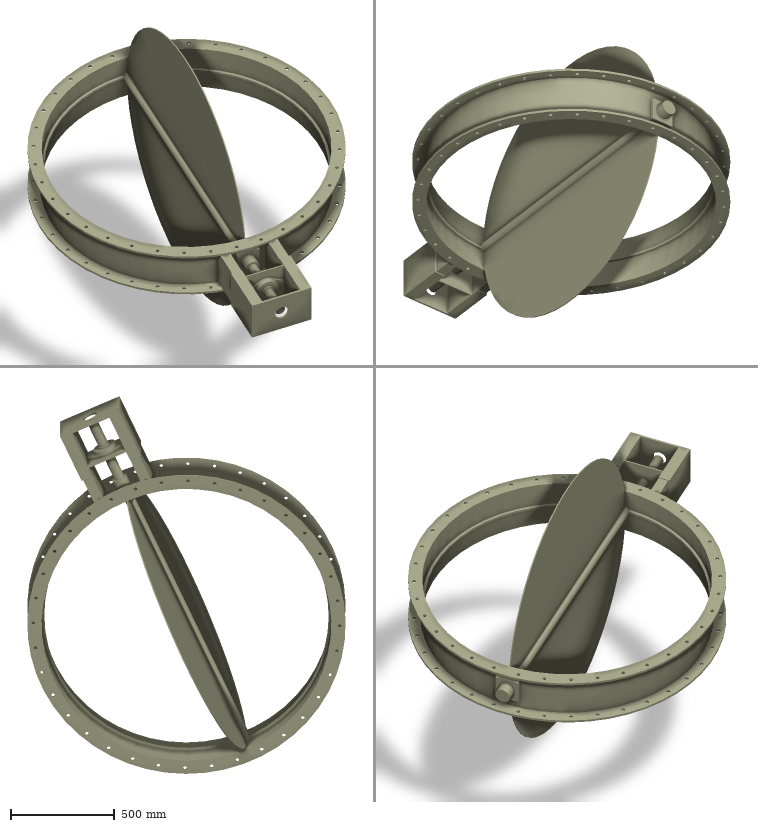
import cadquery as cq
import math

duct_radius = 700.0
shell_thickness = 10.0
shell_outer_radius = duct_radius + shell_thickness
duct_height = 250.0
flange_radius = 1538.0 / 2
flange_thickness = 12.0
bolt_count = 36
bolt_pitch = 360.0 / bolt_count
bolt_circle_radius = 740.0
bolt_hole_diameter = 18.0

joint_angles = (30.0, 150.0, 210.0, 330.0)
joint_width = 44.0
joint_face_radius = shell_outer_radius

blade_diameter = 1400.0
blade_thickness = 6.0
shaft_diameter = 50.0
shaft_end_x = 1109.0

seat_inner_radius = 687.0
seat_thickness = 12.0
seat_offset = blade_thickness / 2

boss_plate_size = 120.0
boss_plate_face_x = 730.0
boss_diameter = 75.0
boss_end_x = 782.0

bracket_end_x = 1129.0
arm_inner_y = 100.0
arm_outer_y = 150.0
arm_height = 200.0
casing_start_x = 878.0
casing_outer_y = 157.5
casing_height = 210.0
end_plate_thickness = 10.0
end_plate_hole_diameter = 70.0

cross_plate_x = 924.0
cross_plate_thickness = 6.0

bearing_body_diameter = 117.0
bearing_hub_diameter = 62.0
bearing_lobe_radius = 20.0
bearing_lobe_y = arm_inner_y - bearing_lobe_radius
bearing_base_length = 12.0
bearing_body_length = 20.0
bearing_hub_length = 9.0


def ring(outer_radius, inner_radius, bottom_z, height):
    profile = cq.Workplane("XY").workplane(offset=bottom_z).circle(outer_radius).circle(inner_radius)
    return profile.extrude(height)


def x_cylinder(diameter, start_x, end_x):
    return cq.Workplane("YZ").workplane(offset=start_x).circle(diameter / 2).extrude(end_x - start_x)


def block(x_range, y_range, height):
    """Box over the given X and Y ranges, centred on Z = 0."""
    length = x_range[1] - x_range[0]
    width = y_range[1] - y_range[0]
    corner = (x_range[0], y_range[0], -height / 2)
    return cq.Workplane("XY").box(length, width, height, centered=False).translate(corner)


def duct_bore():
    return cq.Workplane("XY").circle(duct_radius).extrude(duct_height / 2, both=True)


def make_shell():
    shell = ring(shell_outer_radius, duct_radius, -duct_height / 2, duct_height)
    inner_face = shell_outer_radius - shell_thickness / 2
    for angle in joint_angles:
        bar = block((inner_face, joint_face_radius), (-joint_width / 2, joint_width / 2), duct_height)
        shell = shell.union(bar.rotate((0, 0, 0), (0, 0, 1), angle))
    return shell


def make_flange(bottom_z):
    flange = ring(flange_radius, duct_radius, bottom_z, flange_thickness)
    holes = (
        cq.Workplane("XY")
        .workplane(offset=bottom_z)
        .polarArray(bolt_circle_radius, bolt_pitch / 2, 360, bolt_count)
        .circle(bolt_hole_diameter / 2)
        .extrude(flange_thickness)
    )
    return flange.cut(holes)


def make_seat(side):
    """Half ring on the +Y (side = 1) or -Y (side = -1) half of the duct."""
    bottom_z = -seat_offset - seat_thickness if side > 0 else seat_offset
    outer_radius = duct_radius + shell_thickness / 2
    seat = ring(outer_radius, seat_inner_radius, bottom_z, seat_thickness)
    near_y = side * shaft_diameter / 2
    far_y = side * flange_radius
    y_range = (min(near_y, far_y), max(near_y, far_y))
    return seat.intersect(block((-flange_radius, flange_radius), y_range, duct_height))


def make_boss(side):
    """Square plate and round boss on the +X (side = 1) or -X (side = -1) side."""
    half_size = boss_plate_size / 2
    back_x = duct_radius - shell_thickness
    plate = block((back_x, boss_plate_face_x), (-half_size, half_size), boss_plate_size)
    boss = plate.union(x_cylinder(boss_diameter, back_x, boss_end_x)).cut(duct_bore())
    return boss if side > 0 else boss.mirror("YZ")


def make_blade():
    return cq.Workplane("XZ").circle(blade_diameter / 2).extrude(blade_thickness / 2, both=True)


def make_bracket():
    arm_start_x = math.sqrt(duct_radius**2 - arm_outer_y**2)
    arm = block((arm_start_x, casing_start_x), (arm_inner_y, arm_outer_y), arm_height)
    casing = block((casing_start_x, bracket_end_x), (arm_inner_y, casing_outer_y), casing_height)
    side = arm.union(casing).cut(duct_bore())
    cross_plate = block(
        (cross_plate_x, cross_plate_x + cross_plate_thickness), (-arm_inner_y, arm_inner_y), casing_height
    )
    end_start_x = bracket_end_x - end_plate_thickness
    end_plate = block((end_start_x, bracket_end_x), (-arm_inner_y, arm_inner_y), casing_height)
    end_plate = end_plate.cut(x_cylinder(end_plate_hole_diameter, end_start_x, bracket_end_x))
    return side.union(side.mirror("XZ")).union(cross_plate).union(end_plate)


def make_bearing_base(start_x):
    """Rhombus base whose flanks are tangent to the round body and to both end lobes."""
    body_radius = bearing_body_diameter / 2
    flank_sin = (body_radius - bearing_lobe_radius) / bearing_lobe_y
    flank_cos = math.sqrt(1 - flank_sin**2)
    body_y = body_radius * flank_sin
    body_z = body_radius * flank_cos
    lobe_y = bearing_lobe_y + bearing_lobe_radius * flank_sin
    lobe_z = bearing_lobe_radius * flank_cos
    outline = (
        cq.Workplane("YZ")
        .workplane(offset=start_x)
        .moveTo(body_y, body_z)
        .lineTo(lobe_y, lobe_z)
        .threePointArc((arm_inner_y, 0), (lobe_y, -lobe_z))
        .lineTo(body_y, -body_z)
        .threePointArc((0, -body_radius), (-body_y, -body_z))
        .lineTo(-lobe_y, -lobe_z)
        .threePointArc((-arm_inner_y, 0), (-lobe_y, lobe_z))
        .lineTo(-body_y, body_z)
        .threePointArc((0, body_radius), (body_y, body_z))
        .close()
    )
    return outline.extrude(bearing_base_length)


def make_bearing():
    base_x = cross_plate_x + cross_plate_thickness
    body_x = base_x + bearing_base_length
    hub_x = body_x + bearing_body_length
    body = x_cylinder(bearing_body_diameter, body_x, hub_x)
    hub = x_cylinder(bearing_hub_diameter, hub_x, hub_x + bearing_hub_length)
    return make_bearing_base(base_x).union(body).union(hub)


result = make_shell()
for flange_z in (-duct_height / 2, duct_height / 2 - flange_thickness):
    result = result.union(make_flange(flange_z))
for direction in (-1, 1):
    result = result.union(make_seat(direction)).union(make_boss(direction))
result = result.union(make_bracket()).union(make_bearing())
result = result.union(x_cylinder(shaft_diameter, -duct_radius, shaft_end_x)).union(make_blade())